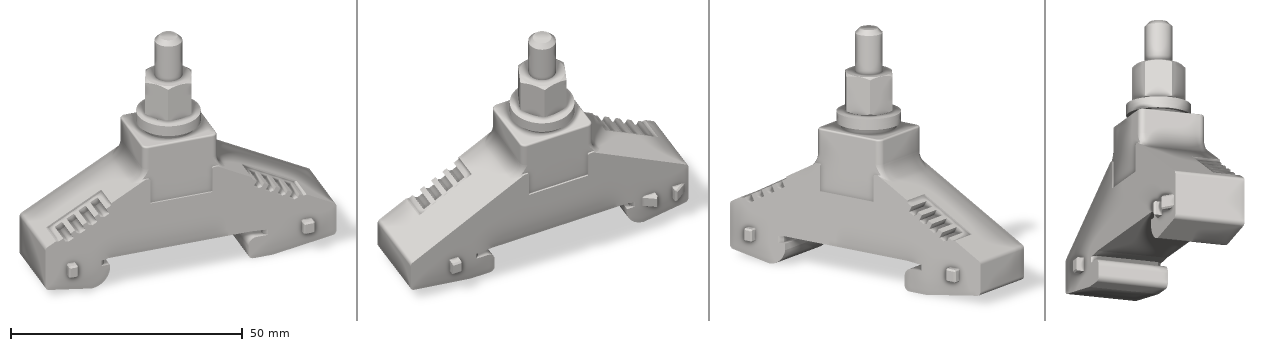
import cadquery as cq
import math

HALF_WIDTH = 8.0
LONG_END = 35.7
SHORT_END = -31.3
ROOF_ANGLE = math.radians(28.5)
ROOF_SLOPE = math.tan(ROOF_ANGLE)
APEX_Z = 29.1
END_ROUNDING = 1.0

RAIL_SEAT_Z = 6.8
NOTCH_FLOOR_Z = 5.15
NOTCH_DEPTH = 0.9
NOTCH_HEIGHT = 1.4
LONG_NOTCH_Y = 19.05
SHORT_NOTCH_Y = -17.5
RAIL_SEAT_LONG_Y = 16.1
RAIL_SEAT_SHORT_Y = -16.8

LONG_HOOK_Y = 15.45
LONG_HOOK_ROUNDING = 1.85
LONG_HOOK_TOE_ROUNDING = 1.2
LONG_HOOK_SOLE_Y = 21.1
LONG_END_BOTTOM = 2.2
SHORT_HOOK_Y = -16.5
SHORT_HOOK_FLAT_Z = 3.7
SHORT_HOOK_NOSE = (-17.65, 1.4)
SHORT_HOOK_SOLE_Y = -20.6
SHORT_END_BOTTOM = 1.75

BLOCK_HALF_X = 7.6
BLOCK_HALF_Y = 8.6
BLOCK_TOP = 32.4
BLOCK_CORNER = 1.3
BLOCK_TOP_ROUNDING = 0.4
BLOCK_ROOT_FILLET = 4.0
FLANK_HALF_Y = 7.15
FLANK_BOTTOM = 18.45
LEDGE_Z = 24.6
LEDGE_ROUNDING = 0.4

GRIP_CENTRE_Y = 22.5
GRIP_LENGTH_Y = 12.7
GRIP_END_RUN = 0.65
GRIP_INNER_X = 1.7
GRIP_DEPTH = 0.45
GRIP_FILLET = 0.5
SLOT_INNER_X = 2.7
SLOT_COUNT = 4
SLOT_PITCH = 3.1
SLOT_WIDTH = 1.9
SLOT_DEPTH = 1.5
SLOT_BEVEL = 0.6

PEG_REACH = 1.8
PEG_Z = 5.9
PEG_HEIGHT = 3.0
PEG_CHAMFER = 0.35
PEG_EDGE_BEVEL = 0.3
PEG_WIDTH = 2.1
WIDE_PEG_WIDTH = 2.6
PEG_Y = 25.35
WIDE_PEG_Y = 28.9
CATCH_WIDTH = 3.05
CATCH_TIP = 0.4
INNER_CATCH_Y = -21.65
OUTER_CATCH_Y = -28.85

STUD_RADIUS = 3.0
STUD_TOP = 54.55
STUD_CHAMFER = 1.0
COLLAR_RADIUS = 6.0
COLLAR_HEIGHT = 1.15
WASHER_RADIUS = 7.0
WASHER_THICKNESS = 0.81
WASHER_DISH = 0.25
CROWN_RADIUS = 5.0
WASHER_COUNT = 2
NUT_FLATS = 10.0
NUT_TOP = 44.85
NUT_TURN = 9.0
NUT_FACE_RADIUS = 4.95
NUT_CHAMFER_ANGLE = math.radians(30)

FLANGE_RIM = BLOCK_TOP + COLLAR_HEIGHT
STACK_RIM = FLANGE_RIM + WASHER_THICKNESS
STACK_TOP = STACK_RIM + WASHER_COUNT * WASHER_THICKNESS
NUT_BOTTOM = STACK_TOP + WASHER_DISH


def roof_z(y):
    return APEX_Z - ROOF_SLOPE * abs(y)


def make_foot():
    """Side outline in the YZ plane, extruded across the full width."""
    shoulder_y = BLOCK_HALF_Y - BLOCK_CORNER
    outline = (
        cq.Workplane("YZ")
        .moveTo(LONG_END, LONG_END_BOTTOM)
        .lineTo(LONG_END, roof_z(LONG_END))
        .lineTo(shoulder_y, roof_z(shoulder_y))
        .lineTo(-shoulder_y, roof_z(shoulder_y))
        .lineTo(SHORT_END, roof_z(SHORT_END))
        .lineTo(SHORT_END, SHORT_END_BOTTOM)
        .lineTo(SHORT_HOOK_SOLE_Y, 0)
        .threePointArc(SHORT_HOOK_NOSE, (SHORT_HOOK_Y, SHORT_HOOK_FLAT_Z))
        .lineTo(SHORT_HOOK_Y, NOTCH_FLOOR_Z)
        .lineTo(SHORT_NOTCH_Y, NOTCH_FLOOR_Z)
        .lineTo(SHORT_NOTCH_Y, NOTCH_FLOOR_Z + NOTCH_HEIGHT)
        .lineTo(RAIL_SEAT_SHORT_Y, RAIL_SEAT_Z)
        .lineTo(RAIL_SEAT_LONG_Y, RAIL_SEAT_Z)
        .lineTo(LONG_NOTCH_Y, NOTCH_FLOOR_Z + NOTCH_HEIGHT)
        .lineTo(LONG_NOTCH_Y, NOTCH_FLOOR_Z)
        .lineTo(LONG_HOOK_Y + LONG_HOOK_ROUNDING, NOTCH_FLOOR_Z)
        .radiusArc((LONG_HOOK_Y, NOTCH_FLOOR_Z - LONG_HOOK_ROUNDING), -LONG_HOOK_ROUNDING)
        .lineTo(LONG_HOOK_Y, LONG_HOOK_TOE_ROUNDING)
        .radiusArc((LONG_HOOK_Y + LONG_HOOK_TOE_ROUNDING, 0), -LONG_HOOK_TOE_ROUNDING)
        .lineTo(LONG_HOOK_SOLE_Y, 0)
        .close()
    )
    foot = outline.extrude(HALF_WIDTH, both=True)
    return foot.edges("|X").edges("<Y or >Y").fillet(END_ROUNDING)


def block_skirt():
    """Concave blend from the block down onto the roof, turned around the block corners."""
    root_z = roof_z(BLOCK_HALF_Y)
    turn = math.pi / 2 - ROOF_ANGLE
    tangent = BLOCK_ROOT_FILLET * math.tan(turn / 2)
    upper = (BLOCK_CORNER, root_z + tangent)
    lower = (BLOCK_CORNER + tangent * math.cos(ROOF_ANGLE), root_z - tangent * math.sin(ROOF_ANGLE))
    middle = (
        BLOCK_CORNER + BLOCK_ROOT_FILLET * (1 - math.cos(turn / 2)),
        root_z + tangent - BLOCK_ROOT_FILLET * math.sin(turn / 2),
    )
    corner_x = BLOCK_HALF_X - BLOCK_CORNER
    corner_y = BLOCK_HALF_Y - BLOCK_CORNER

    def profile(plane):
        return (
            plane.moveTo(0, upper[1])
            .lineTo(*upper)
            .threePointArc(middle, lower)
            .lineTo(0, lower[1])
            .close()
        )

    straight = profile(cq.Workplane("YZ", origin=(0, corner_y, 0)))
    skirt = straight.extrude(corner_x, both=True)
    for side in (1, -1):
        corner = profile(cq.Workplane("YZ", origin=(side * corner_x, corner_y, 0)))
        skirt = skirt.union(corner.revolve(360, (0, 0), (0, 1)))
    within_foot = cq.Workplane("XY").box(2 * HALF_WIDTH, 2 * LONG_END, 2 * BLOCK_TOP)
    return skirt.intersect(within_foot)


def add_block(foot):
    """Rounded stud block, blended into both slopes and flush with recesses in the foot flanks."""
    block = (
        cq.Workplane("XY", origin=(0, 0, FLANK_BOTTOM))
        .rect(2 * BLOCK_HALF_X, 2 * BLOCK_HALF_Y)
        .extrude(BLOCK_TOP - FLANK_BOTTOM)
        .edges("|Z").fillet(BLOCK_CORNER)
        .faces(">Z").edges().fillet(BLOCK_TOP_ROUNDING)
    )
    skirt = block_skirt()
    body = foot.union(skirt).union(skirt.mirror("XZ")).union(block)

    recess_depth = HALF_WIDTH - BLOCK_HALF_X
    flank_height = LEDGE_Z - FLANK_BOTTOM
    above_ledge = BLOCK_TOP - LEDGE_Z
    for side in (1, -1):
        side_x = side * (BLOCK_HALF_X + recess_depth / 2)
        flank = (
            cq.Workplane("XY", origin=(side_x, 0, FLANK_BOTTOM))
            .rect(recess_depth, 2 * FLANK_HALF_Y)
            .extrude(flank_height)
        )
        clearance = (
            cq.Workplane("XY", origin=(side_x, 0, LEDGE_Z))
            .rect(recess_depth, 4 * BLOCK_HALF_Y)
            .extrude(above_ledge)
        )
        body = body.cut(flank).cut(clearance)
        for end in (1, -1):
            ledge_edge = cq.selectors.NearestToPointSelector((side_x, end * FLANK_HALF_Y, LEDGE_Z))
            body = body.edges("|X").edges(ledge_edge).fillet(LEDGE_ROUNDING)
    return body


def make_grip_recess():
    """Shallow recess in the +Y roof, open at +X: upright upper wall, nearly level lower edge."""
    inner_y = GRIP_CENTRE_Y - GRIP_LENGTH_Y / 2
    outer_y = GRIP_CENTRE_Y + GRIP_LENGTH_Y / 2
    floor_end_y = outer_y - GRIP_END_RUN
    floor_drop = GRIP_DEPTH / math.cos(ROOF_ANGLE)
    recess = (
        cq.Workplane("YZ", origin=(GRIP_INNER_X, 0, 0))
        .moveTo(inner_y, roof_z(inner_y))
        .lineTo(inner_y, roof_z(inner_y) - floor_drop)
        .lineTo(floor_end_y, roof_z(floor_end_y) - floor_drop)
        .lineTo(outer_y, roof_z(outer_y))
        .close()
        .extrude(HALF_WIDTH - GRIP_INNER_X)
    )
    foot_of_wall = cq.selectors.NearestToPointSelector(
        (HALF_WIDTH / 2, inner_y, roof_z(inner_y) - floor_drop)
    )
    return recess.edges("|X").edges(foot_of_wall).fillet(GRIP_FILLET)


def make_grip_slots():
    """Row of slots sunk square to the +Y roof, each with its lower bottom corner bevelled."""
    across_roof = cq.Plane(
        origin=(SLOT_INNER_X, GRIP_CENTRE_Y, roof_z(GRIP_CENTRE_Y)),
        xDir=(0, math.cos(ROOF_ANGLE), -math.sin(ROOF_ANGLE)),
        normal=(1, 0, 0),
    )
    floor = -GRIP_DEPTH - SLOT_DEPTH
    slots = cq.Workplane(across_roof)
    for i in range(SLOT_COUNT):
        upper = (i - (SLOT_COUNT - 1) / 2) * SLOT_PITCH - SLOT_WIDTH / 2
        lower = upper + SLOT_WIDTH
        slots = (
            slots.moveTo(upper, 0)
            .lineTo(upper, floor)
            .lineTo(lower - SLOT_BEVEL, floor)
            .lineTo(lower, floor + SLOT_BEVEL)
            .lineTo(lower, 0)
            .close()
        )
    return slots.extrude(HALF_WIDTH - SLOT_INNER_X)


def cut_grips(body):
    for cutter in (make_grip_recess(), make_grip_slots()):
        body = body.cut(cutter).cut(cutter.mirror("XZ"))
    return body


def cut_notch_flare(body, notch_y, outward):
    """Both ends of a rail notch flare out at 45 degrees towards the flat sides of the foot."""
    for side in (1, -1):
        flare = (
            cq.Workplane("XY", origin=(0, 0, NOTCH_FLOOR_Z))
            .moveTo(side * HALF_WIDTH, notch_y)
            .lineTo(side * HALF_WIDTH, notch_y + outward * NOTCH_DEPTH)
            .lineTo(side * (HALF_WIDTH - NOTCH_DEPTH), notch_y)
            .close()
            .extrude(NOTCH_HEIGHT)
        )
        body = body.cut(flare)
    return body


def make_plain_peg(y, width):
    """Rectangular peg on the -X side, chamfered above and below its tip."""
    peg = cq.Workplane("XY").box(PEG_REACH, width, PEG_HEIGHT)
    peg = peg.faces("<X").edges("|Y").chamfer(PEG_CHAMFER)
    return peg.translate((-HALF_WIDTH - PEG_REACH / 2, y, PEG_Z))


def make_bevelled_peg(y, width):
    """Peg on the +X side with bevelled long edges and a chamfer all round its tip."""
    peg = (
        cq.Workplane("XY")
        .box(PEG_REACH, width, PEG_HEIGHT)
        .edges("|X").chamfer(PEG_EDGE_BEVEL)
        .faces(">X").edges().chamfer(PEG_CHAMFER)
    )
    return peg.translate((HALF_WIDTH + PEG_REACH / 2, y, PEG_Z))


def make_catch(y, tip_direction):
    """Wedge on the -X side that rises towards its tip, with the upper and lower edges chamfered."""
    back = y + tip_direction * CATCH_WIDTH / 2
    start = y - tip_direction * CATCH_WIDTH / 2
    tip_x = -HALF_WIDTH - PEG_REACH
    catch = (
        cq.Workplane("XY", origin=(0, 0, PEG_Z - PEG_HEIGHT / 2))
        .moveTo(-HALF_WIDTH, start)
        .lineTo(tip_x, back - tip_direction * CATCH_TIP)
        .lineTo(tip_x + CATCH_TIP, back)
        .lineTo(-HALF_WIDTH, back)
        .close()
        .extrude(PEG_HEIGHT)
    )
    rising_face = cq.selectors.NearestToPointSelector((-HALF_WIDTH - PEG_REACH / 2, y, PEG_Z))
    return catch.faces(rising_face).edges("not |Z").chamfer(PEG_CHAMFER)


def make_housing():
    housing = cut_grips(add_block(make_foot()))
    housing = cut_notch_flare(housing, LONG_NOTCH_Y, 1)
    housing = cut_notch_flare(housing, SHORT_NOTCH_Y, -1)
    housing = housing.union(make_plain_peg(PEG_Y, PEG_WIDTH))
    housing = housing.union(make_bevelled_peg(-PEG_Y, PEG_WIDTH))
    housing = housing.union(make_bevelled_peg(WIDE_PEG_Y, WIDE_PEG_WIDTH))
    housing = housing.union(make_catch(INNER_CATCH_Y, -1))
    housing = housing.union(make_catch(OUTER_CATCH_Y, 1))
    bore = (
        cq.Workplane("XY", origin=(0, 0, FLANK_BOTTOM))
        .circle(STUD_RADIUS)
        .extrude(BLOCK_TOP - FLANK_BOTTOM)
    )
    return housing.cut(bore)


def make_stud():
    """Plain stud, seated in the block, with a collar and a dished flange under the washers."""
    return (
        cq.Workplane("XZ")
        .moveTo(0, FLANK_BOTTOM)
        .lineTo(STUD_RADIUS, FLANK_BOTTOM)
        .lineTo(STUD_RADIUS, BLOCK_TOP)
        .lineTo(COLLAR_RADIUS, BLOCK_TOP)
        .lineTo(COLLAR_RADIUS, FLANGE_RIM)
        .lineTo(WASHER_RADIUS, FLANGE_RIM)
        .lineTo(WASHER_RADIUS, STACK_RIM)
        .lineTo(CROWN_RADIUS, STACK_RIM + WASHER_DISH)
        .lineTo(STUD_RADIUS, STACK_RIM + WASHER_DISH)
        .lineTo(STUD_RADIUS, STUD_TOP - STUD_CHAMFER)
        .lineTo(STUD_RADIUS - STUD_CHAMFER, STUD_TOP)
        .lineTo(0, STUD_TOP)
        .close()
        .revolve(360, (0, 0), (0, 1))
    )


def make_washer(rim_z):
    """Conical spring washer that nests on the one below."""
    return (
        cq.Workplane("XZ")
        .moveTo(WASHER_RADIUS, rim_z)
        .lineTo(WASHER_RADIUS, rim_z + WASHER_THICKNESS)
        .lineTo(CROWN_RADIUS, rim_z + WASHER_THICKNESS + WASHER_DISH)
        .lineTo(STUD_RADIUS, rim_z + WASHER_THICKNESS + WASHER_DISH)
        .lineTo(STUD_RADIUS, rim_z + WASHER_DISH)
        .lineTo(CROWN_RADIUS, rim_z + WASHER_DISH)
        .close()
        .revolve(360, (0, 0), (0, 1))
    )


def make_nut():
    """Hexagon nut with conical chamfers on both faces."""
    corner_radius = NUT_FLATS / math.sqrt(3)
    chamfer_drop = (corner_radius - NUT_FACE_RADIUS) * math.tan(NUT_CHAMFER_ANGLE)
    hexagon = (
        cq.Workplane("XY", origin=(0, 0, NUT_BOTTOM))
        .polygon(6, 2 * corner_radius)
        .extrude(NUT_TOP - NUT_BOTTOM)
        .rotate((0, 0, 0), (0, 0, 1), 90 + NUT_TURN)
    )
    chamfered_round = (
        cq.Workplane("XZ")
        .moveTo(STUD_RADIUS, NUT_BOTTOM)
        .lineTo(NUT_FACE_RADIUS, NUT_BOTTOM)
        .lineTo(corner_radius, NUT_BOTTOM + chamfer_drop)
        .lineTo(corner_radius, NUT_TOP - chamfer_drop)
        .lineTo(NUT_FACE_RADIUS, NUT_TOP)
        .lineTo(STUD_RADIUS, NUT_TOP)
        .close()
        .revolve(360, (0, 0), (0, 1))
    )
    return hexagon.intersect(chamfered_round)


housing = make_housing()
stud = make_stud()
washers = [make_washer(STACK_RIM + i * WASHER_THICKNESS) for i in range(WASHER_COUNT)]
nut = make_nut()

result = cq.Compound.makeCompound(
    [housing.val(), stud.val(), *[washer.val() for washer in washers], nut.val()]
)